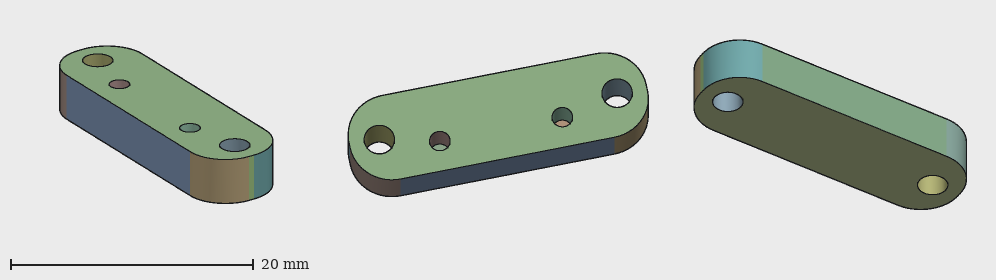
import cadquery as cq

length = 25.0
width = 7.5
thickness = 4.0
corner_radius = 3.5

mount_diameter = 2.5
mount_spacing = 20.0

pin_diameter = 1.7
pin_spacing = 10.3
pin_offset = 1.15
pin_depth = 3.0


def hole_pair(spacing, y):
    """Centres of two holes placed symmetrically about X = 0."""
    return [(side * spacing / 2, y) for side in (-1, 1)]


plate = (
    cq.Workplane("XY")
    .box(length, width, thickness)
    .edges("|Z")
    .fillet(corner_radius)
)

top_face = cq.Workplane("XY").workplane(offset=thickness / 2)

mount_holes = (
    top_face.pushPoints(hole_pair(mount_spacing, 0))
    .circle(mount_diameter / 2)
    .extrude(-thickness)
)

pin_holes = (
    top_face.pushPoints(hole_pair(pin_spacing, -pin_offset))
    .circle(pin_diameter / 2)
    .extrude(-pin_depth)
)

result = plate.cut(mount_holes).cut(pin_holes)